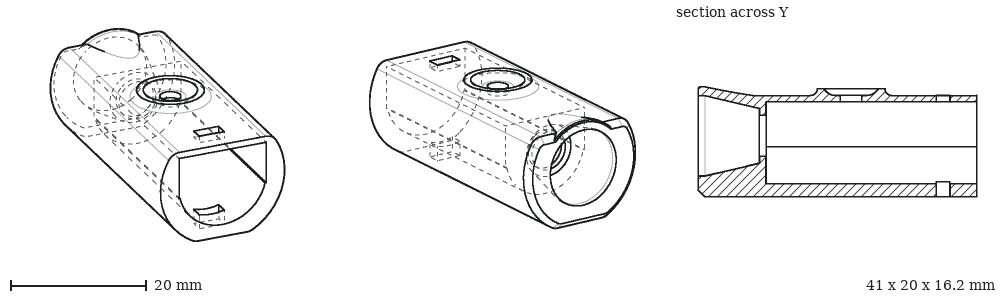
import cadquery as cq
import math

length = 41
body_radius = 10.0
top_height = 6.0
bottom_depth = 8.98
edge_round = 2.0
end_chamfer = 1.0

lip_radius = 7.25
lip_end = 8.0
lip_chamfer = 0.2

mouth_diameter = 11.75
taper_end_diameter = 8.0
bore_diameter = 6.0
mouth_depth = end_chamfer
taper_end = 9

partition = 1.0
cavity_start = taper_end + partition
cavity_radius = 7.0
cavity_ceiling = 5.0
cavity_ledge = -1.55

boss_x = 22.5
boss_y = -0.2
boss_radius = 5.0
boss_height = 1.0
dish_diameter = 8.0
dish_round = 2.0
boss_hole_diameter = 3.1

slot_x = 36.05
slot_length = 2.0
slot_width = 4.0


def revolve_about_bore(profile):
    """Revolve a closed (x, radius) profile about the X axis."""
    return profile.close().revolve(360, (0, 0, 0), (1, 0, 0))


def make_body():
    trim_height = top_height + bottom_depth
    flats = cq.Workplane("XY").box(length, 2 * body_radius, trim_height, centered=(False, True, False))
    flats = flats.translate((0, 0, -bottom_depth))
    cylinder = cq.Workplane("YZ").circle(body_radius).extrude(length)
    body = cylinder.intersect(flats)
    flat_edges = body.faces("+Z or -Z").edges("|X")
    return flat_edges.fillet(edge_round).faces("<X").chamfer(end_chamfer)


def make_lip():
    profile = (
        cq.Workplane("XZ")
        .lineTo(0, lip_radius - lip_chamfer)
        .lineTo(lip_chamfer, lip_radius)
        .lineTo(end_chamfer, lip_radius)
        .lineTo(lip_end, top_height)
        .lineTo(lip_end, 0)
    )
    return revolve_about_bore(profile)


def make_bore():
    profile = (
        cq.Workplane("XZ")
        .lineTo(0, mouth_diameter / 2)
        .lineTo(mouth_depth, mouth_diameter / 2)
        .lineTo(taper_end, taper_end_diameter / 2)
        .lineTo(taper_end, bore_diameter / 2)
        .lineTo(cavity_start, bore_diameter / 2)
        .lineTo(cavity_start, 0)
    )
    return revolve_about_bore(profile)


def make_cavity():
    cavity_length = length - cavity_start
    upper_height = cavity_ceiling - cavity_ledge
    upper = cq.Workplane("XY").box(
        cavity_length, 2 * cavity_radius, upper_height, centered=(False, True, False)
    )
    upper = upper.translate((cavity_start, 0, cavity_ledge))
    chord = math.sqrt(cavity_radius**2 - cavity_ledge**2)
    lower = (
        cq.Workplane("YZ", origin=(cavity_start, 0, 0))
        .moveTo(-chord, cavity_ledge)
        .threePointArc((0, -cavity_radius), (chord, cavity_ledge))
        .close()
        .extrude(cavity_length)
    )
    return upper.union(lower)


def make_boss():
    """Boss with a flared foot and a dish whose floor is level with the top flat."""
    boss_top = top_height + boss_height
    dish_radius = dish_diameter / 2
    dish_angle = math.acos(1 - boss_height / dish_round)
    floor_radius = dish_radius - dish_round * math.sin(dish_angle)
    dish_middle = (
        floor_radius + dish_round * math.sin(dish_angle / 2),
        top_height + dish_round * (1 - math.cos(dish_angle / 2)),
    )
    foot_radius = boss_radius + boss_height
    flare_inset = boss_height * (1 - math.sqrt(0.5))
    flare_middle = (boss_radius + flare_inset, top_height + flare_inset)
    profile = (
        cq.Workplane("XZ")
        .moveTo(0, cavity_ceiling)
        .lineTo(0, top_height)
        .lineTo(floor_radius, top_height)
        .threePointArc(dish_middle, (dish_radius, boss_top))
        .lineTo(boss_radius, boss_top)
        .threePointArc(flare_middle, (foot_radius, top_height))
        .lineTo(foot_radius, cavity_ceiling)
        .close()
    )
    return profile.revolve(360, (0, 0, 0), (0, 1, 0)).translate((boss_x, boss_y, 0))


def make_boss_hole():
    hole = cq.Workplane("XY").circle(boss_hole_diameter / 2).extrude(top_height)
    return hole.translate((boss_x, boss_y, 0))


def make_slot():
    slot = cq.Workplane("XY").rect(slot_length, slot_width).extrude(body_radius, both=True)
    return slot.translate((slot_x, 0, 0))


solid = make_body().union(make_lip()).union(make_boss())
result = solid.cut(make_bore()).cut(make_cavity()).cut(make_boss_hole()).cut(make_slot())